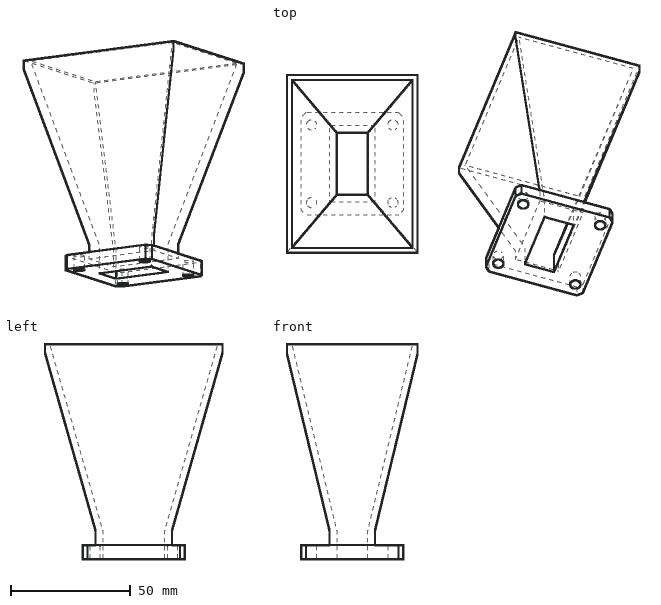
import cadquery as cq

BORE_X = 12.9
BORE_Y = 25.85
WALL = 3.1

RIM_X = 54.7
RIM_Y = 74.45
RIM_WALL = 2.1
MOUTH_X = RIM_X - 2 * RIM_WALL
MOUTH_Y = RIM_Y - 2 * RIM_WALL
TOTAL_HEIGHT = 90.0

FLANGE_SIDE = 42.8
FLANGE_THICKNESS = 6.0
CORNER_CHAMFER = 2.0
NECK_TOP = 12.0
HOLE_SPACING_X = 34.0
HOLE_SPACING_Y = 32.5
HOLE_DIAMETER = 4.3


def block(size_x, size_y, height):
    """Rectangular block centred on the Z axis, standing on Z = 0."""
    return cq.Workplane("XY").rect(size_x, size_y).extrude(height)


def funnel(offset):
    """Straight neck and flared horn, offset sideways from the bore walls."""
    neck_x = BORE_X + 2 * offset
    neck_y = BORE_Y + 2 * offset
    flare = (
        cq.Workplane("XY", origin=(0, 0, NECK_TOP))
        .rect(neck_x, neck_y)
        .workplane(offset=TOTAL_HEIGHT - NECK_TOP)
        .rect(MOUTH_X + 2 * offset, MOUTH_Y + 2 * offset)
        .loft(ruled=True)
    )
    return block(neck_x, neck_y, NECK_TOP).union(flare)


def flange():
    """Square plate with chamfered corners and four through holes."""
    plate = block(FLANGE_SIDE, FLANGE_SIDE, FLANGE_THICKNESS).edges("|Z").chamfer(CORNER_CHAMFER)
    return (
        plate.faces(">Z")
        .workplane()
        .rect(HOLE_SPACING_X, HOLE_SPACING_Y, forConstruction=True)
        .vertices()
        .hole(HOLE_DIAMETER)
    )


rim_envelope = block(RIM_X, RIM_Y, TOTAL_HEIGHT)
horn = funnel(WALL).intersect(rim_envelope)

result = horn.union(flange()).cut(funnel(0))